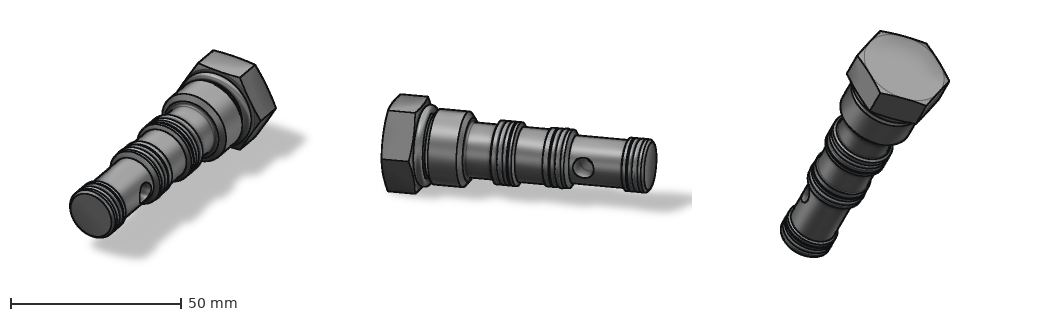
import cadquery as cq
import math

LENGTH = 78.3

HEAD_FLATS = 25.3
HEAD_LENGTH = 9.25
HEAD_CHAMFER = 0.5
HEAD_CORNERS = HEAD_FLATS / math.cos(math.radians(30))

NECK_DIA = 18.95
SHOULDER_DIA = 22.4
SHOULDER_START_DIA = 19.65
SHOULDER_START = 12.4
SHOULDER_END = 23.7
SHOULDER_END_DIA = 18.95
SHOULDER_START_CHAMFER = 1.25
SHOULDER_END_CHAMFER = 1.4

SHANK_DIA = 16.4
NOSE_DIA = 14.25

UPPER_DIA = 18.95
UPPER_FACE_DIA = 17.15
UPPER_START = 31.9
UPPER_END = 39.25
UPPER_LEAD_IN = 0.5
UPPER_TAPER = 0.7
MIDDLE_DIA = 17.4
MIDDLE_START = 47.8
MIDDLE_END = 55.4
MIDDLE_TAPER = 1.0
NOSE_LAND_DIA = 15.8
NOSE_LAND_START = 71.35
NOSE_LEAD_IN = 0.4
NOSE_CHAMFER = 0.8

ROOT_FILLETS = [
    (SHOULDER_START, NECK_DIA, (SHOULDER_START_DIA - NECK_DIA) / 2, -1),
    (SHOULDER_END, SHANK_DIA, 0.6, 1),
    (UPPER_START, SHANK_DIA, 0.2, -1),
    (MIDDLE_START, SHANK_DIA, 0.2, -1),
]

SEAL_SECTION = 1.6
SEAL_GROOVE_WIDTH = 1.9
SEAL_GROOVE_LIP = 0.2
SEALS = [
    (34.8, 15.9, UPPER_DIA),
    (52.25, 14.65, MIDDLE_DIA),
    (75.4, 12.8, NOSE_LAND_DIA),
]

NARROW_WIDTH = 0.5
NARROW_CORNER = 0.15
NARROW_GROOVES = [
    (37.3, 16.4, UPPER_DIA),
    (49.8, 14.7, MIDDLE_DIA),
    (73.15, 13.15, NOSE_LAND_DIA),
]

HEAD_SEAL_SECTION = 2.7
HEAD_SEAL_STATION = HEAD_LENGTH + HEAD_SEAL_SECTION / 2

CROSS_HOLE_DIA = 6.35
CROSS_HOLE_STATION = 59.85


def turned(points):
    """Solid of revolution about Y from (diameter, station) points, closed along the axis."""
    outline = [(0, -points[0][1])]
    outline += [(dia / 2, -station) for dia, station in points]
    outline.append((0, -points[-1][1]))
    return cq.Workplane("XY").polyline(outline).close().revolve(360, (0, 0, 0), (0, 1, 0))


def head():
    """Hexagon prism with its corners turned off at both ends."""
    prism = (
        cq.Workplane("XZ")
        .polygon(6, HEAD_CORNERS)
        .extrude(HEAD_LENGTH)
    )
    envelope = turned([
        (HEAD_FLATS, 0),
        (HEAD_CORNERS, HEAD_CHAMFER),
        (HEAD_CORNERS, HEAD_LENGTH - HEAD_CHAMFER),
        (HEAD_FLATS, HEAD_LENGTH),
    ])
    return prism.intersect(envelope)


def stem():
    """Stepped stem with the shoulder and the three lands, before grooving."""
    return turned([
        (NECK_DIA, HEAD_LENGTH),
        (NECK_DIA, SHOULDER_START),
        (SHOULDER_START_DIA, SHOULDER_START),
        (SHOULDER_DIA, SHOULDER_START + SHOULDER_START_CHAMFER),
        (SHOULDER_DIA, SHOULDER_END - SHOULDER_END_CHAMFER),
        (SHOULDER_END_DIA, SHOULDER_END),
        (SHANK_DIA, SHOULDER_END),
        (SHANK_DIA, UPPER_START),
        (UPPER_FACE_DIA, UPPER_START),
        (UPPER_DIA, UPPER_START + UPPER_LEAD_IN),
        (UPPER_DIA, UPPER_END - UPPER_TAPER),
        (SHANK_DIA, UPPER_END),
        (SHANK_DIA, MIDDLE_START),
        (MIDDLE_DIA, MIDDLE_START),
        (MIDDLE_DIA, MIDDLE_END - MIDDLE_TAPER),
        (NOSE_DIA, MIDDLE_END),
        (NOSE_DIA, NOSE_LAND_START),
        (NOSE_LAND_DIA, NOSE_LAND_START + NOSE_LEAD_IN),
        (NOSE_LAND_DIA, LENGTH - NOSE_CHAMFER),
        (NOSE_LAND_DIA - 2 * NOSE_CHAMFER, LENGTH),
    ])


def root_fillet(station, shank_dia, radius, side):
    """Ring with a hollow quarter-round section that fills the corner at a step face."""
    shank = shank_dia / 2
    reach = -side * radius
    hollow = 1 - math.sin(math.radians(45))
    return (
        cq.Workplane("XY", origin=(0, -station, 0))
        .moveTo(shank, 0)
        .lineTo(shank + radius, 0)
        .threePointArc((shank + hollow * radius, hollow * reach), (shank, reach))
        .close()
        .revolve(360, (0, 0, 0), (0, 1, 0))
    )


def seal_groove(station, floor_dia, land_dia):
    """Ring of material that a straight-walled groove with rounded lips removes from a land."""
    floor = floor_dia / 2
    rim = land_dia / 2
    lip_base = rim - SEAL_GROOVE_LIP
    arc_reach = SEAL_GROOVE_LIP * math.sin(math.radians(45))
    wall = SEAL_GROOVE_WIDTH / 2
    mouth = wall + SEAL_GROOVE_LIP
    return (
        cq.Workplane("XY", origin=(0, -station, 0))
        .moveTo(floor, -wall)
        .lineTo(lip_base, -wall)
        .threePointArc((lip_base + arc_reach, arc_reach - mouth), (rim, -mouth))
        .lineTo(rim, mouth)
        .threePointArc((lip_base + arc_reach, mouth - arc_reach), (lip_base, wall))
        .lineTo(floor, wall)
        .close()
        .revolve(360, (0, 0, 0), (0, 1, 0))
    )


def narrow_groove(station, floor_dia, land_dia):
    """Ring of material that a slim groove with rounded bottom corners removes from a land."""
    return (
        cq.Workplane("XZ", origin=(0, -station + NARROW_WIDTH / 2, 0))
        .circle(land_dia / 2)
        .circle(floor_dia / 2)
        .extrude(NARROW_WIDTH)
        .edges(cq.selectors.RadiusNthSelector(0))
        .fillet(NARROW_CORNER)
    )


def cross_hole():
    """Cylinder right through the nose shank, along X."""
    return (
        cq.Workplane("YZ", origin=(0, -CROSS_HOLE_STATION, 0))
        .circle(CROSS_HOLE_DIA / 2)
        .extrude(NOSE_DIA, both=True)
    )


def cartridge_body():
    body = head().union(stem())
    for station, shank_dia, radius, side in ROOT_FILLETS:
        body = body.union(root_fillet(station, shank_dia, radius, side))
    for station, floor_dia, land_dia in SEALS:
        body = body.cut(seal_groove(station, floor_dia, land_dia))
    for station, floor_dia, land_dia in NARROW_GROOVES:
        body = body.cut(narrow_groove(station, floor_dia, land_dia))
    return body.cut(cross_hole())


def o_ring(station, inner_dia, section):
    """Torus around Y that touches a floor of the given diameter."""
    centre_radius = (inner_dia + section) / 2
    return cq.Workplane(
        cq.Solid.makeTorus(centre_radius, section / 2, cq.Vector(0, -station, 0), cq.Vector(0, 1, 0))
    )


body = cartridge_body()
head_seal = o_ring(HEAD_SEAL_STATION, NECK_DIA, HEAD_SEAL_SECTION)
land_seals = [o_ring(station, floor_dia, SEAL_SECTION) for station, floor_dia, _ in SEALS]

result = cq.Compound.makeCompound([
    body.val(),
    head_seal.val(),
    *[seal.val() for seal in land_seals],
])